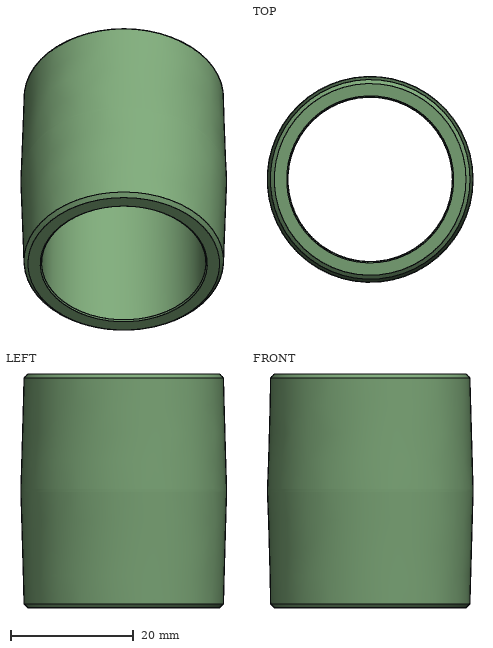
import cadquery as cq

length = 38.1
middle_diameter = 33.53

taper_end_diameter = 32.5
band_width = 0.45

end_face_diameter = 31.2
outer_chamfer_height = 0.65

bore_diameter = 26.75
bore_chamfer = 0.23

half_length = length / 2
half_band = band_width / 2
middle_radius = middle_diameter / 2
taper_end_radius = taper_end_diameter / 2
end_face_radius = end_face_diameter / 2
bore_radius = bore_diameter / 2
bore_mouth_radius = bore_radius + bore_chamfer
taper_end_z = half_length - outer_chamfer_height
bore_chamfer_z = half_length - bore_chamfer

wall_section = (
    cq.Workplane("XZ")
    .moveTo(bore_radius, -bore_chamfer_z)
    .lineTo(bore_mouth_radius, -half_length)
    .lineTo(end_face_radius, -half_length)
    .lineTo(taper_end_radius, -taper_end_z)
    .lineTo(middle_radius, -half_band)
    .lineTo(middle_radius, half_band)
    .lineTo(taper_end_radius, taper_end_z)
    .lineTo(end_face_radius, half_length)
    .lineTo(bore_mouth_radius, half_length)
    .lineTo(bore_radius, bore_chamfer_z)
    .close()
)

result = wall_section.revolve(360, (0, 0, 0), (0, 1, 0))